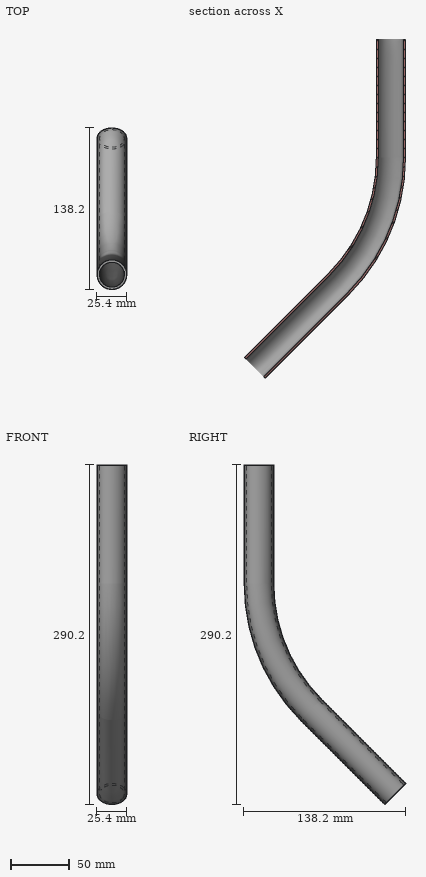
import cadquery as cq
import math

outer_diameter = 25.4
inner_diameter = 21.18
straight_length = 101.6
bend_radius = 152.4
bend_angle = 45.0


def bend_point(angle_degrees):
    """Centreline (Y, Z) point after bending by the given angle; the bend starts at the origin."""
    angle = math.radians(angle_degrees)
    y = bend_radius * (1 - math.cos(angle))
    z = -bend_radius * math.sin(angle)
    return (y, z)


def tube_centreline():
    """Vertical leg down to the origin, bend towards +Y, then the inclined lower leg."""
    bend_middle = bend_point(bend_angle / 2)
    bend_end = bend_point(bend_angle)
    slope = math.radians(bend_angle)
    lower_end = (
        bend_end[0] + straight_length * math.sin(slope),
        bend_end[1] - straight_length * math.cos(slope),
    )
    return (
        cq.Workplane("YZ")
        .moveTo(0, straight_length)
        .lineTo(0, 0)
        .threePointArc(bend_middle, bend_end)
        .lineTo(*lower_end)
    )


def bent_tube():
    """Ring section at the top end, swept along the centreline."""
    return (
        cq.Workplane("XY", origin=(0, 0, straight_length))
        .circle(outer_diameter / 2)
        .circle(inner_diameter / 2)
        .sweep(tube_centreline())
    )


result = bent_tube()